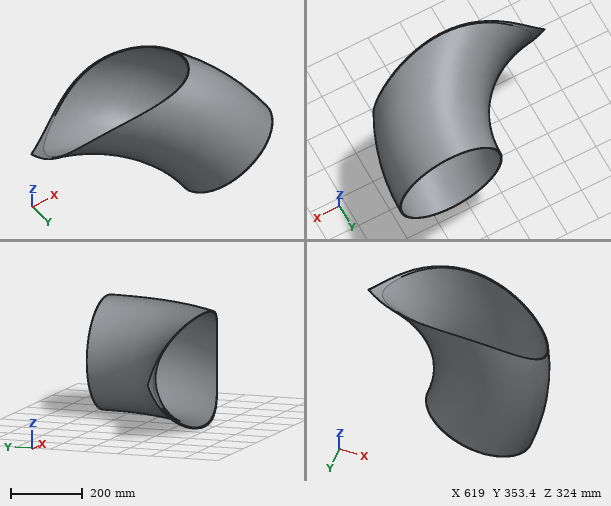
import cadquery as cq

overall_length = 619.0
pipe_diameter = 324.0
wall = 3.0
header_diameter = 508.0
bend_angle = 90.0

pipe_radius = pipe_diameter / 2
bore_radius = pipe_radius - wall
bend_radius = overall_length - pipe_radius
inner_bend_radius = bend_radius - pipe_radius
header_radius = header_diameter / 2
header_half_length = 1.5 * overall_length


def make_elbow():
    """Sweep the pipe ring about Z from the flat end (on +X) round to -Y."""
    ring = cq.Workplane("XZ").center(bend_radius, 0).circle(pipe_radius).circle(bore_radius)
    return ring.revolve(bend_angle, (-bend_radius, 0), (-bend_radius, -1))


def make_header():
    """Cylinder along X whose crest just touches the inside of the bend."""
    axis_y = -(inner_bend_radius + header_radius)
    return (
        cq.Workplane("ZY")
        .center(0, axis_y)
        .circle(header_radius)
        .extrude(header_half_length, both=True)
    )


result = make_elbow().cut(make_header())